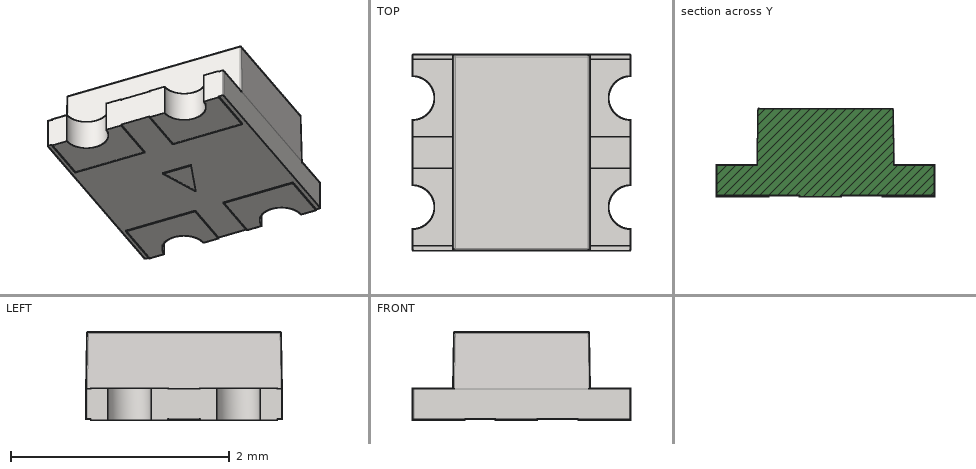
import cadquery as cq

board_length = 2.0
board_width = 1.8
board_thickness = 0.28
board_corner_radius = 0.01

bottom_pad_thickness = 0.01
top_pad_thickness = 0.005
pad_width = 0.71
pad_length = 0.48
pad_pitch = 1.0

notch_radius = 0.2

lens_length = 1.26
lens_height = 0.52
lens_taper_angle = 1.0
lens_edge_radius = 0.012

mark_tip_x = -0.24
mark_base_x = 0.145
mark_half_width = 0.145

board_bottom = bottom_pad_thickness
board_top = board_bottom + board_thickness


def pad_layer(bottom, thickness):
    """Four pads flush with the board ends, resting at the given level."""
    pad_x = (board_length - pad_length) / 2
    pad_y = pad_pitch / 2
    centers = [(x, y) for x in (-pad_x, pad_x) for y in (-pad_y, pad_y)]
    return (
        cq.Workplane("XY", origin=(0, 0, bottom))
        .pushPoints(centers)
        .rect(pad_length, pad_width)
        .extrude(thickness)
    )


def notches():
    """Cylinders that cut through the pads and the board at both ends."""
    return (
        cq.Workplane("XY")
        .rect(board_length, pad_pitch, forConstruction=True)
        .vertices()
        .circle(notch_radius)
        .extrude(board_top + top_pad_thickness)
    )


def lens():
    """Tapered block across the full board width with rounded corners and top edges."""
    return (
        cq.Workplane("XY", origin=(0, 0, board_top))
        .rect(lens_length, board_width)
        .extrude(lens_height, taper=lens_taper_angle)
        .edges("not <Z")
        .fillet(lens_edge_radius)
    )


def polarity_mark():
    """Triangle under the board that points along -X."""
    corners = [
        (mark_tip_x, 0),
        (mark_base_x, -mark_half_width),
        (mark_base_x, mark_half_width),
    ]
    return cq.Workplane("XY").polyline(corners).close().extrude(bottom_pad_thickness)


board = (
    cq.Workplane("XY", origin=(0, 0, board_bottom))
    .rect(board_length, board_width)
    .extrude(board_thickness)
    .edges("|Z")
    .fillet(board_corner_radius)
)
result = (
    board.union(pad_layer(0, bottom_pad_thickness))
    .union(pad_layer(board_top, top_pad_thickness))
    .cut(notches())
    .union(lens())
    .union(polarity_mark())
)